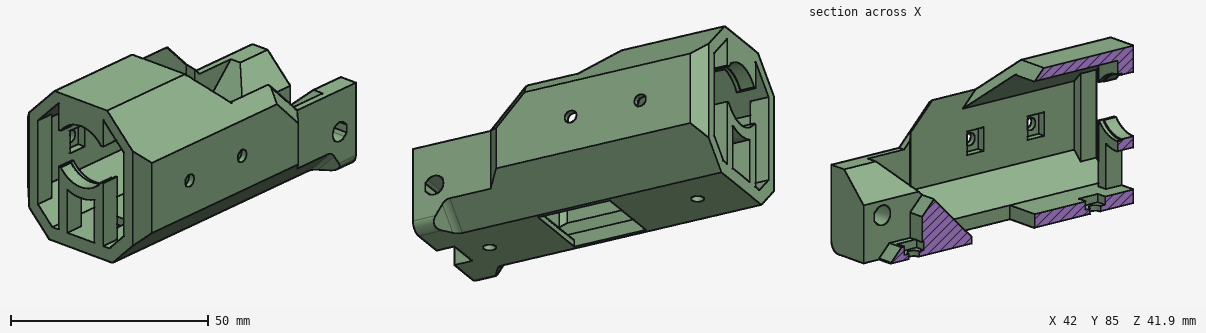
import cadquery as cq
import math

length = 85.05
width = 42.0
height = 41.9

top_flat = 17.9
bottom_flat = 21.4
arm_span = 35.1
side_bevel = (width - arm_span) / 2
body_end = 62.7
arm_height = 23.1

side_wall = 3.9
floor = 3.7
roof = 3.1
floor_flat = 19.3
roof_flat = 15.3
ramp_foot = 51.45
step_edge = 29.6
opening_start = step_edge + roof
opening_end = 53.2

plate = 5.3
window_width = 29.1
web_width = 15.1
bore_height = 26.4
bore_radius = 8.5
seat_radius = 8.85
seat_start = 4.0
web_gap = 10.2
bore_rim = 3.1
slot_window_width = 9.1

arm_inner_span = 31.1
arm_flat_gap = 24.8
hinge_slot = 9.4
ridge_y = 65.8
notch_y = 69.7
tongue_bevel_y = 76.55
tongue_end = 79.95
arm_corner_radius = 3.0
runout_radius = 3.0
runout_y = 75.7
pivot_diameter = 5.3
pivot_y = 78.8
pivot_z = 11.6

screw_diameter = 3.3
nut_width = 5.5
nut_length = 6.3
nut_depth = 2.2
side_screw_y = (17.9, 37.85)
side_screw_z = 20.0
floor_screw_y = (12.6, 72.4)


def extrude_x(points, span):
    """Extrude a (y, z) outline symmetrically along X."""
    return cq.Workplane("YZ").polyline(points).close().extrude(span / 2, both=True)


def extrude_y(points, start, end):
    """Extrude an (x, z) outline along Y from start to end."""
    plane = cq.Workplane("XZ", origin=(0, start, 0))
    return plane.polyline(points).close().extrude(start - end)


def box(span, y_start, y_end, z_start, z_end):
    """Box centred on x = 0."""
    corner = (-span / 2, y_start, z_start)
    block = cq.Workplane("XY").box(span, y_end - y_start, z_end - z_start, centered=False)
    return block.translate(corner)


def cylinder_y(radius, start, end):
    """Cylinder on the bore axis."""
    return cq.Workplane("XZ", origin=(0, start, bore_height)).circle(radius).extrude(start - end)


def octagon(full_width, low, high, low_flat, high_flat):
    """(x, z) points of an octagon with 45 degree corners."""
    half = full_width / 2
    low_half = low_flat / 2
    high_half = high_flat / 2
    right = [
        (low_half, low),
        (half, low + half - low_half),
        (half, high - half + high_half),
        (high_half, high),
    ]
    return right + [(-x, z) for x, z in reversed(right)]


def make_body():
    """Octagonal body with bevelled flat sides and a 45 degree rear."""
    side_profile = [
        (0, 0),
        (body_end, 0),
        (body_end, arm_height),
        (body_end + arm_height - height, height),
        (0, height),
    ]
    slab = extrude_x(side_profile, width)
    slab = slab.faces("<X or >X").edges().chamfer(side_bevel)
    return slab.intersect(extrude_y(octagon(width, 0, height, bottom_flat, top_flat), 0, body_end))


def make_bevel_runout():
    """Cutter that continues the lower right body bevel and ends it with a rounded 45 degree face."""
    depth = width
    bevel_plane = cq.Plane(origin=(bottom_flat / 2, 0, 0), xDir=(0, 1, 0), normal=(1, 0, 1))
    outline = [(0, 0), (runout_y, 0), (runout_y + depth, -depth), (0, -depth)]
    cutter = cq.Workplane(bevel_plane).polyline(outline).close().extrude(depth, both=True)
    end_edge = cq.selectors.NearestToPointSelector((bottom_flat / 2, runout_y, 0))
    return cutter.edges(end_edge).fillet(runout_radius)


def make_arm_block():
    """Block of the hinge arms; the lower body bevels run out into its rounded edges."""
    block = box(arm_span, body_end - side_bevel, length, 0, arm_height)
    block = block.edges("|Y and <Z").fillet(arm_corner_radius)
    runout = make_bevel_runout()
    return block.cut(runout).cut(runout.mirror("YZ"))


def make_cavity():
    """Inner octagon, opened by the roof step and closed by the ramp between the arms."""
    half = width / 2 - side_wall
    rear_half = arm_inner_span / 2
    corner_y = body_end - side_bevel
    right = [
        (half, plate),
        (half, corner_y),
        (rear_half, corner_y + half - rear_half),
        (rear_half, length),
    ]
    plan = cq.Workplane("XY").polyline(right + [(-x, y) for x, y in reversed(right)]).close()
    plan = plan.extrude(height)
    tube = extrude_y(octagon(2 * half, floor, height - roof, floor_flat, roof_flat), plate, length)
    step_foot = step_edge + height
    above_step = extrude_x([(step_edge, height), (step_foot, 0), (length, 0), (length, height)], width)
    above_ramp = extrude_x([(0, 0), (ramp_foot, 0), (ramp_foot + height, height), (0, height)], width)
    return tube.union(above_step).intersect(plan).intersect(above_ramp)


def make_floor_opening():
    """Opening in the cavity floor; its rear wall follows the ramp above its foot."""
    foot_z = opening_end - ramp_foot
    outline = [
        (opening_start, 0),
        (opening_end, 0),
        (opening_end, foot_z),
        (ramp_foot + floor, floor),
        (opening_start, floor),
    ]
    return extrude_x(outline, floor_flat)


def make_front_opening():
    """Octagonal opening of the front plate, less the two webs that carry the bore."""
    opening = extrude_y(octagon(window_width, floor, height - roof, floor_flat, roof_flat), 0, plate)
    lower_web = box(web_width, 0, plate, 0, bore_height - web_gap / 2)
    upper_web = box(web_width, 0, plate, bore_height + web_gap / 2, height)
    bore = cylinder_y(bore_radius, 0, plate).union(cylinder_y(seat_radius, seat_start, plate))
    slot_window = box(slot_window_width, 0, plate, floor, bore_height)
    slot_window = slot_window.cut(cylinder_y(bore_radius + bore_rim, 0, plate))
    return opening.cut(lower_web).cut(upper_web).union(bore).union(slot_window)


def make_hinge_gap():
    """Space between the arms: a V with a slot below it, which leaves a ridge and a tongue."""
    slot_half = hinge_slot / 2
    flat_half = arm_flat_gap / 2
    slot_top = arm_height - (flat_half - slot_half)
    v_right = [(slot_half, slot_top), (flat_half, arm_height)]
    v_shape = extrude_y(v_right + [(-x, z) for x, z in reversed(v_right)], body_end, length)
    ridge_z = ridge_y - ramp_foot
    outline = [
        (ridge_y, ridge_z),
        (notch_y, ridge_z - (notch_y - ridge_y)),
        (notch_y, floor),
        (tongue_bevel_y, floor),
        (tongue_end, floor - (tongue_end - tongue_bevel_y)),
        (tongue_end, 0),
        (length, 0),
        (length, slot_top),
        (ridge_y, slot_top),
    ]
    return v_shape.union(extrude_x(outline, hinge_slot))


def make_floor_screw(y):
    """Vertical screw hole with a rectangular nut pocket in the cavity floor."""
    hole = cq.Workplane("XY").center(0, y).circle(screw_diameter / 2).extrude(floor)
    pocket = box(nut_width, y - nut_length / 2, y + nut_length / 2, floor - nut_depth, floor)
    return hole.union(pocket)


def make_side_screw(y):
    """Screw hole across both side walls with a nut pocket in each inner wall face."""
    pocket_span = width - 2 * side_wall + 2 * nut_depth
    axis = cq.Workplane("YZ").center(y, side_screw_z)
    pocket = axis.rect(nut_width, nut_length).extrude(pocket_span / 2, both=True)
    return axis.circle(screw_diameter / 2).extrude(width, both=True).union(pocket)


def make_pivot_hole():
    """Hole across both arms, round at the front and bounded by three flats at the rear."""
    radius = pivot_diameter / 2
    tangent = radius * math.sqrt(0.5)
    flat_half = radius * math.tan(math.pi / 8)
    outline = (
        cq.Workplane("YZ", origin=(0, pivot_y, pivot_z))
        .moveTo(tangent, tangent)
        .threePointArc((-radius, 0), (tangent, -tangent))
        .lineTo(radius, -flat_half)
        .lineTo(radius, flat_half)
        .close()
    )
    return outline.extrude(width, both=True)


result = make_body().union(make_arm_block())
result = result.cut(make_cavity()).cut(make_floor_opening())
result = result.cut(make_front_opening()).cut(make_hinge_gap())
for screw_y in floor_screw_y:
    result = result.cut(make_floor_screw(screw_y))
for screw_y in side_screw_y:
    result = result.cut(make_side_screw(screw_y))
result = result.cut(make_pivot_hole())